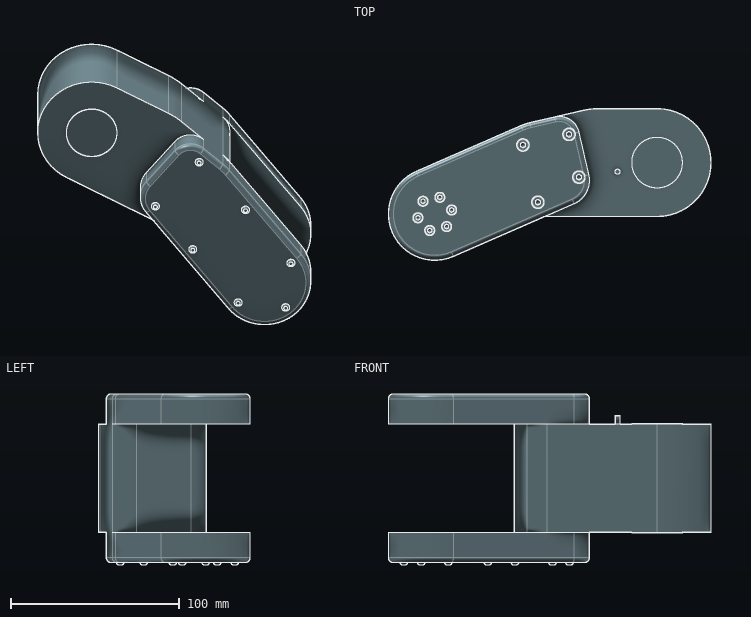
import cadquery as cq
import math


housing_height = 64.0
housing_radius = 32.0
link_angle = 13.0
link_end = 80.0
link_side = 40.0
link_corner_radius = 12.0
bend_radius = 40.0

cap_diameter = 30.0
cap_height = 0.5
pin_diameter = 3.0
pin_height = 5.0
pin_distance = 24.0

joint_distance = 135.0
plate_thickness = 18.0
plate_angle = 10.6
plate_end_radius = 27.5
plate_start = 41.0
plate_upper_corner_radius = 12.0
plate_lower_corner_radius = 15.0
plate_kink_radius = 30.0
plate_edge_fillet = 3.0

hex_sides = 6
cone_angle = 120.0
m4_screw = {"bore": 7.5, "head": 7.0, "height": 4.0, "rim": 0.4, "hex": 3.0, "socket": 2.0}
m3_screw = {"bore": 6.0, "head": 5.5, "height": 3.0, "rim": 0.3, "hex": 2.5, "socket": 1.3}
m4_positions = [(75.0, 28.0), (47.0, 28.0), (47.0, 2.0), (74.0, -7.0)]
joint_screw_count = 6
joint_screw_radius = 10.25

button_base_diameter = 4.7
button_mid_diameter = 4.0
button_top_diameter = 2.3
button_height = 1.38
button_circle_radius = 20.0
button_row_distance = 43.0
button_end_positions = [(56.0, 32.5), (54.5, -5.5)]

half_height = housing_height / 2
plate_top = half_height + plate_thickness


def link_point(along, across):
    """Point measured from the base axis, along and across the bent link."""
    angle = math.radians(link_angle)
    x = -along * math.cos(angle) - across * math.sin(angle)
    y = -along * math.sin(angle) + across * math.cos(angle)
    return (x, y)


joint_center = link_point(joint_distance, 0)


def plate_point(along, across):
    """Point measured from the next joint axis, along and across the plates."""
    angle = math.radians(link_angle + plate_angle)
    x = joint_center[0] + along * math.cos(angle) - across * math.sin(angle)
    y = joint_center[1] + along * math.sin(angle) + across * math.cos(angle)
    return (x, y)


def round_corner(solid, corner, radius):
    """Fillet the upright edge that stands at the given outline corner."""
    selector = cq.selectors.NearestToPointSelector((corner[0], corner[1], half_height))
    return solid.edges("|Z").edges(selector).fillet(radius)


def make_housing():
    angle = math.radians(link_angle)
    bend_along = (link_side * math.cos(angle) - housing_radius) / math.sin(angle)
    lower_across = (link_end * math.sin(angle) - housing_radius) / math.cos(angle)
    bend_corner = link_point(bend_along, link_side)
    upper_corner = link_point(link_end, link_side)
    lower_corner = link_point(link_end, lower_across)
    housing = (
        cq.Workplane("XY", origin=(0, 0, -half_height))
        .moveTo(0, -housing_radius)
        .threePointArc((housing_radius, 0), (0, housing_radius))
        .lineTo(*bend_corner)
        .lineTo(*upper_corner)
        .lineTo(*lower_corner)
        .close()
        .extrude(housing_height)
    )
    housing = round_corner(housing, bend_corner, bend_radius)
    housing = round_corner(housing, upper_corner, link_corner_radius)
    return round_corner(housing, lower_corner, link_corner_radius)


def make_upper_plate():
    angle = math.radians(plate_angle)
    kink_reach = (link_side - plate_end_radius * math.cos(angle)) / math.sin(angle)
    length = joint_distance - plate_start
    lower_reach = length / math.cos(angle) - plate_end_radius * math.tan(angle)
    kink = plate_point(kink_reach, plate_end_radius)
    upper_corner = link_point(plate_start, link_side)
    lower_corner = plate_point(lower_reach, -plate_end_radius)
    plate = (
        cq.Workplane("XY", origin=(0, 0, half_height))
        .moveTo(*plate_point(0, -plate_end_radius))
        .threePointArc(plate_point(-plate_end_radius, 0), plate_point(0, plate_end_radius))
        .lineTo(*kink)
        .lineTo(*upper_corner)
        .lineTo(*lower_corner)
        .close()
        .extrude(plate_thickness)
    )
    plate = round_corner(plate, kink, plate_kink_radius)
    plate = round_corner(plate, upper_corner, plate_upper_corner_radius)
    plate = round_corner(plate, lower_corner, plate_lower_corner_radius)
    return plate.faces(">Z").edges().fillet(plate_edge_fillet)


def screw_cut(points, screw):
    """Clearance around each flush, round-rimmed screw head, plus its hex socket."""
    surface_plane = cq.Plane((0, 0, plate_top), xDir=(0, 1, 0))
    surface = cq.Workplane(surface_plane).pushPoints([(y, -x) for x, y in points])
    bores = surface.circle(screw["bore"] / 2).extrude(-screw["height"])
    heads = surface.circle(screw["head"] / 2).extrude(-screw["height"])
    heads = heads.faces(">Z").edges().fillet(screw["rim"])
    corner_diameter = screw["hex"] / math.cos(math.pi / hex_sides)
    sockets = surface.polygon(hex_sides, corner_diameter).extrude(-screw["socket"])
    cone_radius = screw["hex"] / 2
    cone_depth = cone_radius / math.tan(math.radians(cone_angle / 2))
    cone = cq.Solid.makeCone(cone_radius, 0, cone_depth, dir=cq.Vector(0, 0, -1))
    socket_floor = cq.Workplane("XY", origin=(0, 0, plate_top - screw["socket"]))
    cones = socket_floor.pushPoints(points).eachpoint(lambda place: cone.located(place))
    return bores.cut(heads).union(sockets).union(cones)


def m4_screw_points():
    return [link_point(along, across) for along, across in m4_positions]


def joint_screw_points():
    points = []
    for index in range(joint_screw_count):
        angle = math.radians(index * 360 / joint_screw_count)
        along = joint_distance - joint_screw_radius * math.cos(angle)
        points.append(link_point(along, joint_screw_radius * math.sin(angle)))
    return points


def button_screws():
    points = [
        plate_point(-button_circle_radius, 0),
        plate_point(0, button_circle_radius),
        plate_point(0, -button_circle_radius),
        plate_point(button_row_distance, button_circle_radius),
        plate_point(button_row_distance, -button_circle_radius),
    ]
    points += [link_point(along, across) for along, across in button_end_positions]
    base_radius = button_base_diameter / 2
    top_radius = button_top_diameter / 2
    head = (
        cq.Workplane("XZ")
        .lineTo(base_radius, 0)
        .threePointArc((button_mid_diameter / 2, -button_height / 2), (top_radius, -button_height))
        .lineTo(0, -button_height)
        .close()
        .revolve(360, (0, 0), (0, 1))
        .val()
    )
    face = cq.Workplane("XY", origin=(0, 0, -plate_top)).pushPoints(points)
    return face.eachpoint(lambda place: head.located(place))


def base_joint_caps():
    caps_height = housing_height + 2 * cap_height
    return cq.Workplane("XY").cylinder(caps_height, cap_diameter / 2)


def stop_pin():
    top = cq.Workplane("XY", origin=(0, 0, half_height))
    return top.center(*link_point(pin_distance, 0)).circle(pin_diameter / 2).extrude(pin_height)


plain_plate = make_upper_plate()
lower_plate = plain_plate.mirror("XY")
upper_plate = plain_plate.cut(screw_cut(m4_screw_points(), m4_screw))
upper_plate = upper_plate.cut(screw_cut(joint_screw_points(), m3_screw))

result = make_housing().union(base_joint_caps()).union(stop_pin())
result = result.union(upper_plate).union(lower_plate).union(button_screws())